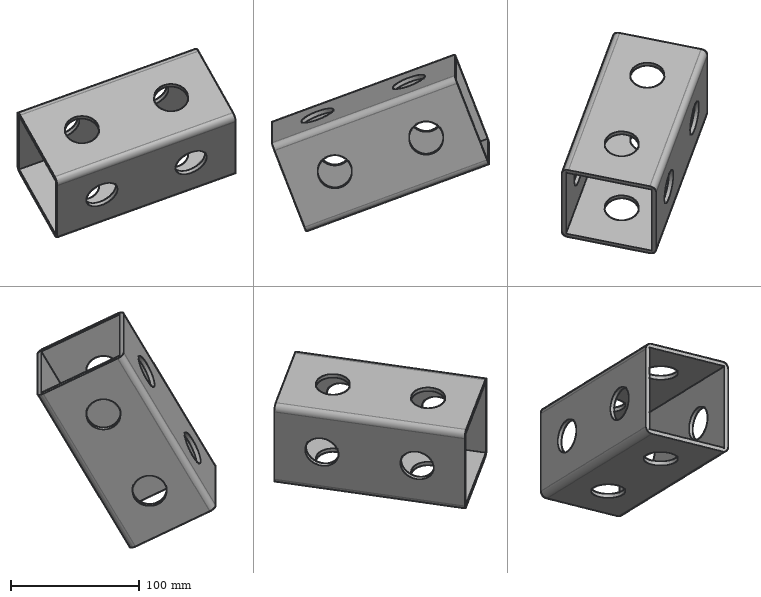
import cadquery as cq

length = 152.4
width = length / 2
wall = 3.5
corner_radius = 5.2

hole_diameter = 26.7
hole_pitch = length / 2
hole_positions = [(0, -hole_pitch / 2), (0, hole_pitch / 2)]


def square_tube():
    """Tube with rounded outer edges and a sharp-cornered bore."""
    outer = cq.Workplane("XY").box(width, length, width).edges("|Y").fillet(corner_radius)
    bore_width = width - 2 * wall
    bore = cq.Workplane("XY").box(bore_width, length, bore_width)
    return outer.cut(bore)


def hole_cutters(plane, positions):
    """Cylinders that pass through both opposite walls along the plane's normal."""
    return cq.Workplane(plane).pushPoints(positions).circle(hole_diameter / 2).extrude(width, both=True)


vertical_holes = hole_cutters("XY", hole_positions)
side_holes = hole_cutters("YZ", [(y, x) for x, y in hole_positions])
result = square_tube().cut(vertical_holes).cut(side_holes)